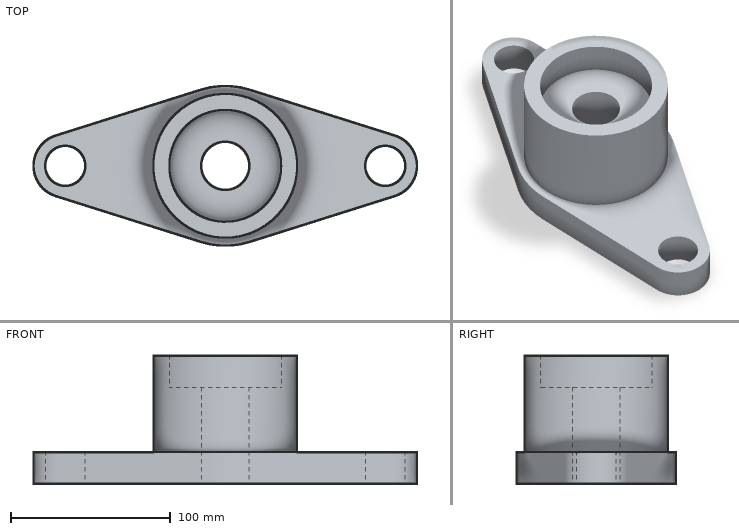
import cadquery as cq
import math

length = 239.9
width = 100.0
plate_thickness = 20.0
end_radius = 20.0
bolt_hole_diameter = 25.0

total_height = 80.0
boss_diameter = 90.0
bore_diameter = 30.0
recess_diameter = 70.0
recess_depth = 20.0

middle_radius = width / 2
bolt_offset = length / 2 - end_radius

tangent_angle = math.acos((middle_radius - end_radius) / bolt_offset)
normal_x = math.cos(tangent_angle)
normal_y = math.sin(tangent_angle)


def make_plate():
    """Diamond flange: a middle arc joined to two end arcs by tangent lines."""
    middle_x = middle_radius * normal_x
    middle_y = middle_radius * normal_y
    end_x = bolt_offset + end_radius * normal_x
    end_y = end_radius * normal_y
    return (
        cq.Workplane("XY")
        .moveTo(-middle_x, middle_y)
        .threePointArc((0, middle_radius), (middle_x, middle_y))
        .lineTo(end_x, end_y)
        .threePointArc((length / 2, 0), (end_x, -end_y))
        .lineTo(middle_x, -middle_y)
        .threePointArc((0, -middle_radius), (-middle_x, -middle_y))
        .lineTo(-end_x, -end_y)
        .threePointArc((-length / 2, 0), (-end_x, end_y))
        .close()
        .extrude(plate_thickness)
    )


def cylinder(diameter, bottom, top, x=0):
    """Upright cylinder between two heights, centred on the X axis."""
    return (
        cq.Workplane("XY", origin=(x, 0, bottom))
        .circle(diameter / 2)
        .extrude(top - bottom)
    )


result = make_plate().union(cylinder(boss_diameter, 0, total_height))

result = result.cut(cylinder(bore_diameter, 0, total_height))
result = result.cut(cylinder(recess_diameter, total_height - recess_depth, total_height))

for side in (-1, 1):
    result = result.cut(cylinder(bolt_hole_diameter, 0, plate_thickness, side * bolt_offset))